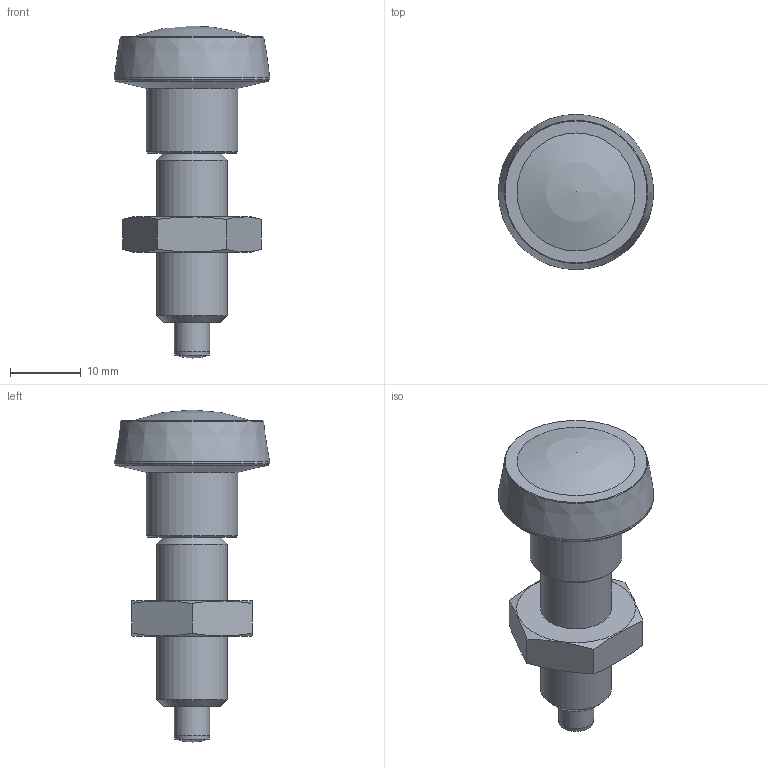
import cadquery as cq
import math


pin_radius = 5.0 / 2
pin_length = 5.0
pin_dome_height = 0.4
pin_taper_length = 0.5
pin_taper = 0.07

body_radius = 10.0 / 2
body_length = 24.0
body_chamfer = 1.0

nut_sides = 6
nut_width_across_flats = 17.0
nut_bottom = 10.0
nut_thickness = 5.0
nut_chamfer_angle = 15.0
nut_face_diameter = 16.8

sleeve_radius = 13.0 / 2
sleeve_length = 9.1
sleeve_edge_chamfer = 0.2
knob_hub_radius = 6.6
knob_hub_height = 0.1
knob_radius = 22.0 / 2
knob_underside_height = 1.0
knob_rim_inset = 0.15
knob_rim_bevel = 0.2
knob_rim_height = 0.3
knob_top = 40.5
knob_top_radius = 10.15
knob_top_bevel = 0.1
knob_flank_bulge = 0.06
dome_radius = 16.7 / 2
dome_height = 1.5


def dome_midpoint(base_radius, height):
    """Radius and rise of the point halfway up a spherical cap, seen from its base."""
    sphere_radius = (base_radius**2 + height**2) / (2 * height)
    half_angle = math.asin(base_radius / sphere_radius) / 2
    rise = height - sphere_radius * (1 - math.cos(half_angle))
    return sphere_radius * math.sin(half_angle), rise


def make_pin():
    """Plunger pin with a slightly tapered end and a domed tip."""
    dome_base = -pin_length + pin_dome_height
    tip_radius = pin_radius - pin_taper
    mid_radius, mid_rise = dome_midpoint(tip_radius, pin_dome_height)
    return (
        cq.Workplane("XZ")
        .lineTo(pin_radius, 0)
        .lineTo(pin_radius, dome_base + pin_taper_length)
        .lineTo(tip_radius, dome_base)
        .threePointArc((mid_radius, dome_base - mid_rise), (0, -pin_length))
        .close()
        .revolve(360, (0, 0, 0), (0, 1, 0))
    )


def make_body():
    """Cylindrical body with both ends chamfered."""
    return cq.Workplane("XY").circle(body_radius).extrude(body_length).faces("<Z or >Z").chamfer(body_chamfer)


def make_nut():
    """Hexagon nut with corners along X, its corners cut conically at both faces."""
    corner_radius = nut_width_across_flats / 2 / math.cos(math.pi / nut_sides)
    nut_face_radius = nut_face_diameter / 2
    corner_drop = (corner_radius - nut_face_radius) * math.tan(math.radians(nut_chamfer_angle))
    hexagon = cq.Workplane("XY").polygon(nut_sides, 2 * corner_radius).extrude(nut_thickness)
    cone_envelope = (
        cq.Workplane("XZ")
        .lineTo(nut_face_radius, 0)
        .lineTo(corner_radius, corner_drop)
        .lineTo(corner_radius, nut_thickness - corner_drop)
        .lineTo(nut_face_radius, nut_thickness)
        .lineTo(0, nut_thickness)
        .close()
        .revolve(360, (0, 0, 0), (0, 1, 0))
    )
    return hexagon.intersect(cone_envelope).translate((0, 0, nut_bottom))


def make_knob():
    """Pull knob: sleeve, thin hub, conical underside, bulged tapering flank and domed top."""
    sleeve_top = body_length + sleeve_length
    hub_top = sleeve_top + knob_hub_height
    rim_bottom = hub_top + knob_underside_height
    flank_bottom = rim_bottom + knob_rim_bevel
    rim_top = flank_bottom + knob_rim_height
    flank_top = knob_top - knob_top_bevel
    flank_middle = ((knob_radius + knob_top_radius) / 2 + knob_flank_bulge, (rim_top + flank_top) / 2)
    mid_radius, mid_rise = dome_midpoint(dome_radius, dome_height)
    return (
        cq.Workplane("XZ")
        .moveTo(0, body_length)
        .lineTo(sleeve_radius - sleeve_edge_chamfer, body_length)
        .lineTo(sleeve_radius, body_length + sleeve_edge_chamfer)
        .lineTo(sleeve_radius, sleeve_top)
        .lineTo(knob_hub_radius, sleeve_top)
        .lineTo(knob_hub_radius, hub_top)
        .lineTo(knob_radius - knob_rim_inset, rim_bottom)
        .lineTo(knob_radius, flank_bottom)
        .lineTo(knob_radius, rim_top)
        .threePointArc(flank_middle, (knob_top_radius, flank_top))
        .lineTo(knob_top_radius - knob_top_bevel, knob_top)
        .lineTo(dome_radius, knob_top)
        .threePointArc((mid_radius, knob_top + mid_rise), (0, knob_top + dome_height))
        .close()
        .revolve(360, (0, 0, 0), (0, 1, 0))
    )


result = make_body().union(make_pin()).union(make_nut()).union(make_knob())